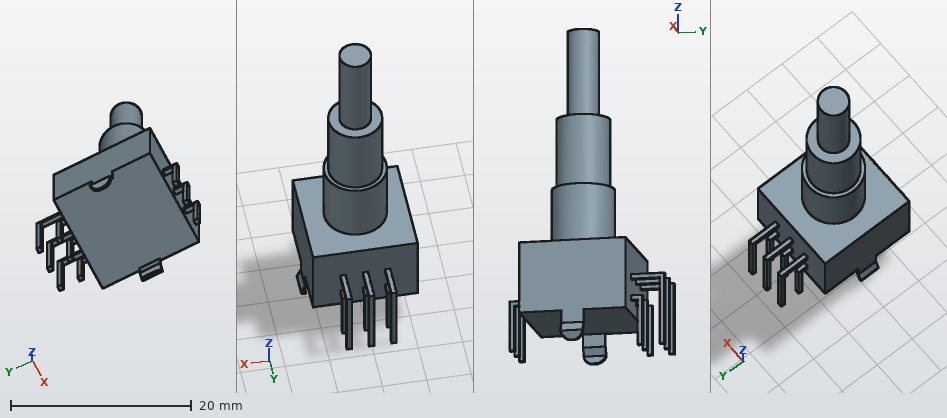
import cadquery as cq
import math

body_width = 11.8
body_depth = 12.0
body_height = 8.0

shaft_steps = [(7.0, 7.0), (6.0, 8.0), (3.5, 10.0)]

pin_width = 0.6
pin_thickness = 0.5
pin_pitch = 2.52
pins_per_row = 3
pin_drop = 3.5
low_row_height = 5.6
high_row_height = 8.0
front_reach = 7.75
rear_inner_reach = 7.25
rear_outer_reach = 9.75

leg_width = 2.52
leg_thickness = 0.25
leg_bend_z = -1.42
leg_apex_z = -2.4
leg_tip_z = -3.43
leg_half_span = 6.35


def make_shaft():
    """Stack the coaxial cylinders on top of the housing."""
    shaft = cq.Workplane("XY")
    base_z = body_height
    for diameter, length in shaft_steps:
        step = cq.Workplane("XY").workplane(offset=base_z).circle(diameter / 2).extrude(length)
        shaft = shaft.add(step)
        base_z += length
    return shaft.combine()


def make_pin_row(side, reach, height):
    """L-shaped pins on the side of the given Y sign; height is measured from the pin ends."""
    end_z = -pin_drop
    top_z = end_z + height
    wall = body_depth / 2
    inner = reach - pin_thickness
    outline = [
        (side * wall, top_z),
        (side * reach, top_z),
        (side * reach, end_z),
        (side * inner, end_z),
        (side * inner, top_z - pin_thickness),
        (side * wall, top_z - pin_thickness),
    ]
    pin = cq.Workplane("YZ").polyline(outline).close().extrude(pin_width / 2, both=True)
    row = cq.Workplane("XY")
    for index in range(pins_per_row):
        offset = (index - (pins_per_row - 1) / 2) * pin_pitch
        row = row.add(pin.translate((offset, 0, 0)))
    return row.combine()


def make_leg():
    """Leg at +X: straight, bent out to the apex, then back in to a rounded tip."""
    outer_x = body_width / 2
    slope = math.atan2(leg_half_span - outer_x, leg_bend_z - leg_apex_z)
    tip_x = leg_half_span - (leg_apex_z - leg_tip_z) * math.tan(slope)
    outline = [
        (outer_x, body_height / 2),
        (outer_x, leg_bend_z),
        (leg_half_span, leg_apex_z),
        (tip_x, leg_tip_z),
        (tip_x - leg_thickness * math.cos(slope), leg_tip_z + leg_thickness * math.sin(slope)),
        (leg_half_span - leg_thickness / math.cos(slope), leg_apex_z),
        (outer_x - leg_thickness, leg_bend_z - leg_thickness * math.tan(slope / 2)),
        (outer_x - leg_thickness, body_height / 2),
    ]
    leg = cq.Workplane("XZ").polyline(outline).close().extrude(leg_width / 2, both=True)
    half_width = leg_width / 2
    tip_outline = (
        cq.Workplane("YZ")
        .moveTo(-half_width, body_height)
        .lineTo(-half_width, leg_apex_z)
        .threePointArc((0, leg_tip_z), (half_width, leg_apex_z))
        .lineTo(half_width, body_height)
        .close()
        .extrude(body_width)
    )
    return leg.intersect(tip_outline)


result = cq.Workplane("XY").box(body_width, body_depth, body_height, centered=(True, True, False))
result = result.union(make_shaft())
result = result.union(make_pin_row(-1, front_reach, low_row_height))
result = result.union(make_pin_row(1, rear_inner_reach, low_row_height))
result = result.union(make_pin_row(1, rear_outer_reach, high_row_height))
leg = make_leg()
result = result.union(leg).union(leg.mirror("YZ"))